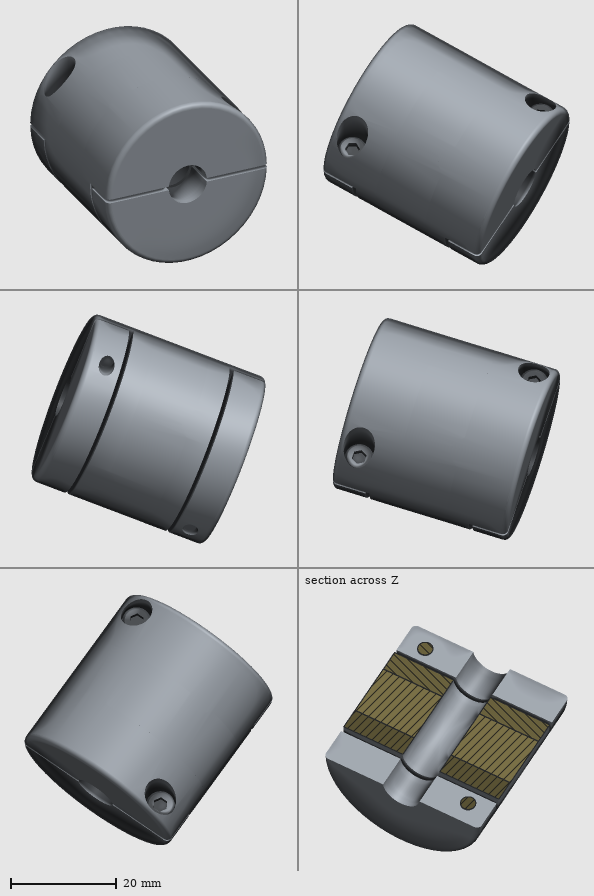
import cadquery as cq
import math


length = 35.0
outer_diameter = 34.0
bore_diameter = 8.0
end_round = 1.0
element_length = 11.05
hub_turns = (0, 180)

outer_radius = outer_diameter / 2
half_length = length / 2
seam_offset = element_length / 2
hub_length = half_length - seam_offset

tooth_height = 1.9
tooth_width = 6.0
tooth_tip_radius = 2.45
tooth_flank_angle = math.radians(45)
tooth_angles = (60, -60)

slit_width = 0.77
clamp_length = 6.8
cross_slit_width = 0.85

screw_x = -13.48
screw_y = -12.3
shank_diameter = 3.0
head_diameter = 5.5
head_height = 3.0
head_chamfer = 0.45
counterbore_diameter = 6.0
seat_z = 2.5
shank_length = 10.0
socket_width = 2.5
socket_depth = 1.5
socket_turn = 30


def cylinder_along_x(diameter, start, extent):
    return cq.Workplane("YZ", origin=(start, 0, 0)).circle(diameter / 2).extrude(extent)


def cylinder_along_z(diameter, bottom, height):
    return cq.Workplane("XY", origin=(screw_x, screw_y, bottom)).circle(diameter / 2).extrude(height)


def bored_cylinder(start, extent):
    solid = cylinder_along_x(outer_diameter, start, extent)
    return solid.cut(cylinder_along_x(bore_diameter, start, extent))


def tooth(angle):
    """Round-tipped radial ridge on the inner face of the left hub."""
    half_width = tooth_width / 2
    tip_half_width = tooth_tip_radius * math.sin(tooth_flank_angle)
    tip_drop = tooth_tip_radius * (1 - math.cos(tooth_flank_angle))
    base = -seam_offset
    tip = base + tooth_height
    ridge = (
        cq.Workplane("XZ")
        .moveTo(base, -half_width)
        .lineTo(tip - tip_drop, -tip_half_width)
        .threePointArc((tip, 0), (tip - tip_drop, tip_half_width))
        .lineTo(base, half_width)
        .close()
        .extrude(-outer_diameter)
    )
    return ridge.rotate((0, 0, 0), (1, 0, 0), angle)


def teeth():
    """Both ridges, trimmed to the ring between the bore and the outer surface."""
    ridges = tooth(tooth_angles[0])
    for angle in tooth_angles[1:]:
        ridges = ridges.union(tooth(angle))
    return ridges.intersect(bored_cylinder(-seam_offset, element_length))


def slits():
    """Slit on the axis plane and the cross slit below it that frees the clamp half."""
    reach = clamp_length + cross_slit_width
    axis_slit = (
        cq.Workplane("XY", origin=(-half_length, 0, 0))
        .box(reach, outer_diameter, slit_width, centered=(False, True, True))
    )
    cross_slit = (
        cq.Workplane("XY", origin=(-half_length + clamp_length, 0, -outer_radius))
        .box(cross_slit_width, outer_diameter, outer_radius, centered=(False, True, False))
    )
    return axis_slit.union(cross_slit)


def screw():
    """Hexagon socket head screw whose head rests on the counterbore floor."""
    head = cylinder_along_z(head_diameter, seat_z, head_height).faces(">Z").chamfer(head_chamfer)
    shank = cylinder_along_z(shank_diameter, seat_z - shank_length, shank_length)
    socket = (
        cq.Workplane("XY", origin=(screw_x, screw_y, seat_z + head_height))
        .transformed(rotate=(0, 0, socket_turn))
        .polygon(6, socket_width / math.cos(math.pi / 6))
        .extrude(-socket_depth)
    )
    return head.union(shank).cut(socket)


def clamp_hub():
    """Left hub: the screw joins the clamp half to the rest, so all of it is one solid."""
    hub = cylinder_along_x(outer_diameter, -half_length, hub_length)
    hub = hub.faces("<X").edges().fillet(end_round)
    hub = hub.cut(cylinder_along_x(bore_diameter, -half_length, hub_length))
    hub = hub.union(teeth()).cut(slits())
    hub = hub.cut(cylinder_along_z(counterbore_diameter, seat_z, outer_radius))
    hub = hub.cut(cylinder_along_z(shank_diameter, -outer_radius, outer_radius))
    return hub.union(screw())


def elastic_element():
    """Ring between the hubs, recessed for the teeth of both."""
    ring = bored_cylinder(-seam_offset, element_length)
    for turn in hub_turns:
        ring = ring.cut(teeth().rotate((0, 0, 0), (0, 0, 1), turn))
    return ring


hubs = [clamp_hub().rotate((0, 0, 0), (0, 0, 1), turn) for turn in hub_turns]
element = elastic_element()

result = cq.Compound.makeCompound([element.solids().val(), *[hub.solids().val() for hub in hubs]])